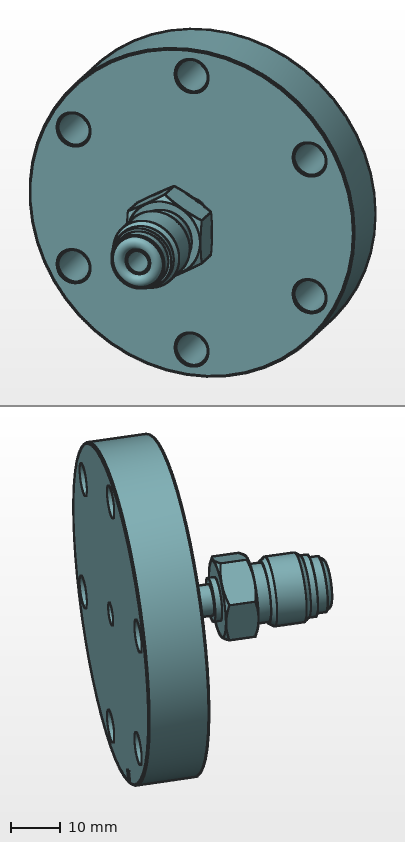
import cadquery as cq
import math


FLANGE_RADIUS = 35.0
FLANGE_THICKNESS = 12.7
FLANGE_CHAMFER = 0.3
BOLT_COUNT = 6
BOLT_CIRCLE_RADIUS = 29.3
BOLT_HOLE_RADIUS = 3.35
BOLT_HOLE_CHAMFER = 0.3

GROOVE_ANGLE = 240.0
GROOVE_WIDTH = 2.0
GROOVE_DEPTH = 1.5
GROOVE_LENGTH = 2.8

BORE_RADIUS = 2.3
TUBE_RADIUS = 3.2
SLEEVE_RADIUS = 4.5
SHOULDER_RADIUS = 6.4
HEAD_RADIUS = 5.75
BEAD_INNER_RADIUS = 2.65
BEAD_OUTER_RADIUS = 5.4
BEAD_HEIGHT = 1.25
FITTING_REACH = 32.2
SLEEVE_START = 8.0
SHOULDER_THICKNESS = 1.5
SHOULDER_END = 28.8
HEAD_END = FITTING_REACH - BEAD_HEIGHT

HEX_ACROSS_FLATS = 15.9
HEX_START = 9.4
HEX_END = 16.2
HEX_CHAMFER_RADIUS = 7.85
HEX_CHAMFER_DEPTH = 0.7
RELIEF_RADIUS = 6.1
BARREL_RADIUS = 7.15
BARREL_END_RADIUS = 6.4
BARREL_CHAMFER = 1.05
BARREL_START = 19.1
NUT_END = SHOULDER_END - SHOULDER_THICKNESS


def turn(profile):
    """Revolve a closed (radius, Y) outline around the Y axis."""
    return profile.close().revolve(360, (0, 0, 0), (0, 1, 0))


def outline(points):
    """Open outline through (radius, reach) points."""
    return cq.Workplane("XY").polyline([(radius, -reach) for radius, reach in points])


def make_bolt_hole_cutter():
    """Through hole with a countersunk front edge, on the flange axis."""
    mouth_radius = BOLT_HOLE_RADIUS + BOLT_HOLE_CHAMFER
    return turn(
        outline(
            [
                (0, 0),
                (mouth_radius, 0),
                (BOLT_HOLE_RADIUS, -BOLT_HOLE_CHAMFER),
                (BOLT_HOLE_RADIUS, -FLANGE_THICKNESS),
                (0, -FLANGE_THICKNESS),
            ]
        )
    )


def make_groove_cutter():
    """Radial groove, open to the rim and to the rear face."""
    return (
        cq.Workplane("XY")
        .box(GROOVE_LENGTH, GROOVE_DEPTH, GROOVE_WIDTH)
        .translate((FLANGE_RADIUS - GROOVE_LENGTH / 2, FLANGE_THICKNESS - GROOVE_DEPTH / 2, 0))
        .rotate((0, 0, 0), (0, 1, 0), -GROOVE_ANGLE)
    )


def make_flange():
    chamfer_start = FLANGE_RADIUS - FLANGE_CHAMFER
    flange = turn(
        outline(
            [
                (BORE_RADIUS, 0),
                (chamfer_start, 0),
                (FLANGE_RADIUS, -FLANGE_CHAMFER),
                (FLANGE_RADIUS, FLANGE_CHAMFER - FLANGE_THICKNESS),
                (chamfer_start, -FLANGE_THICKNESS),
                (BORE_RADIUS, -FLANGE_THICKNESS),
            ]
        )
    )
    bolt_hole = make_bolt_hole_cutter()
    for i in range(BOLT_COUNT):
        angle = math.pi / 2 + 2 * math.pi * i / BOLT_COUNT
        x = BOLT_CIRCLE_RADIUS * math.cos(angle)
        z = BOLT_CIRCLE_RADIUS * math.sin(angle)
        flange = flange.cut(bolt_hole.translate((x, 0, z)))
    return flange.cut(make_groove_cutter())


def make_gland():
    """Bored tube that butts on the flange and ends in a head with a rounded bead."""
    bead_crest_radius = (BEAD_INNER_RADIUS + BEAD_OUTER_RADIUS) / 2
    return turn(
        outline(
            [
                (BORE_RADIUS, 0),
                (TUBE_RADIUS, 0),
                (TUBE_RADIUS, SLEEVE_START),
                (SLEEVE_RADIUS, SLEEVE_START),
                (SLEEVE_RADIUS, NUT_END),
                (SHOULDER_RADIUS, NUT_END),
                (SHOULDER_RADIUS, SHOULDER_END),
                (HEAD_RADIUS, SHOULDER_END),
                (HEAD_RADIUS, HEAD_END),
                (BEAD_OUTER_RADIUS, HEAD_END),
            ]
        )
        .threePointArc((bead_crest_radius, -FITTING_REACH), (BEAD_INNER_RADIUS, -HEAD_END))
        .lineTo(BORE_RADIUS, -HEAD_END)
    )


def make_hexagon():
    """Solid hexagon with corners at +Z and -Z, trimmed by a cone at both ends."""
    corner_radius = HEX_ACROSS_FLATS / math.sqrt(3)
    corners = []
    for i in range(6):
        angle = math.pi / 2 + math.pi * i / 3
        corners.append((corner_radius * math.cos(angle), corner_radius * math.sin(angle)))
    prism = (
        cq.Workplane("XZ", origin=(0, -HEX_START, 0))
        .polyline(corners)
        .close()
        .extrude(HEX_END - HEX_START)
    )
    envelope = turn(
        outline(
            [
                (0, HEX_START),
                (HEX_CHAMFER_RADIUS, HEX_START),
                (corner_radius, HEX_START + HEX_CHAMFER_DEPTH),
                (corner_radius, HEX_END - HEX_CHAMFER_DEPTH),
                (HEX_CHAMFER_RADIUS, HEX_END),
                (0, HEX_END),
            ]
        )
    )
    return prism.intersect(envelope)


def make_nut():
    """Hexagon and barrel, bored to fit the gland sleeve and ending at its shoulder."""
    barrel = turn(
        outline(
            [
                (0, HEX_START),
                (RELIEF_RADIUS, HEX_START),
                (RELIEF_RADIUS, BARREL_START),
                (BARREL_END_RADIUS, BARREL_START),
                (BARREL_RADIUS, BARREL_START + BARREL_CHAMFER),
                (BARREL_RADIUS, NUT_END - BARREL_CHAMFER),
                (BARREL_END_RADIUS, NUT_END),
                (0, NUT_END),
            ]
        )
    )
    bore = (
        cq.Workplane("XZ", origin=(0, -HEX_START, 0))
        .circle(SLEEVE_RADIUS)
        .extrude(NUT_END - HEX_START)
    )
    return make_hexagon().union(barrel).cut(bore)


flange = make_flange()
gland = make_gland()
nut = make_nut()

result = cq.Compound.makeCompound([body.solids().val() for body in (flange, gland, nut)])